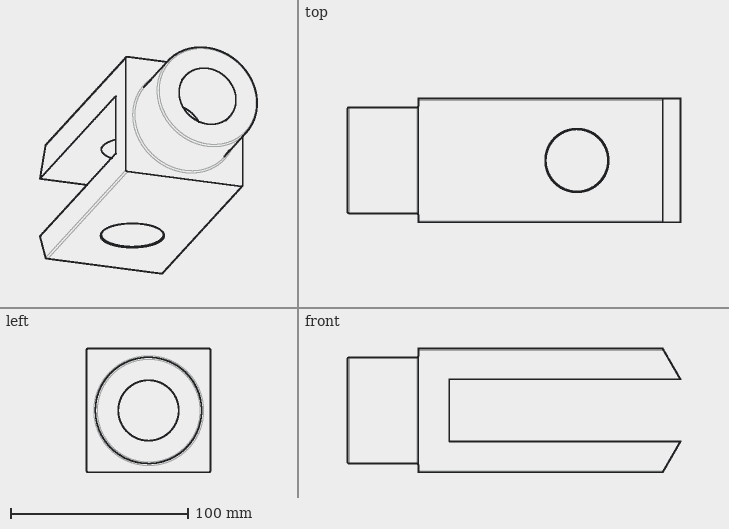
import cadquery as cq
import math

total_length = 188.0
body_width = 70.0
neck_length = 40.0
half_width = body_width / 2
body_length = total_length - neck_length

neck_diameter = 60.0
neck_round = 1.0
neck_fillet = 1.0
bore_diameter = 34.0

slot_width = 35.0
arm_thickness = (body_width - slot_width) / 2
slot_start = neck_length + arm_thickness
slot_length = total_length - slot_start

tip_bevel_angle = 30.0
tip_bevel_length = arm_thickness * math.tan(math.radians(tip_bevel_angle))

pin_diameter = 35.0
pin_position = 129.5
pin_chamfer = 0.5

edge_fillet = 1.0


def make_body():
    """Square bar along X with rounded long edges."""
    bar = cq.Workplane("XY").box(body_length, body_width, body_width, centered=(False, True, True))
    return bar.edges("|X").fillet(edge_fillet).translate((neck_length, 0, 0))


def arc_middle(center, x_side, y_side, radius):
    """Midpoint of a quarter arc in the quadrant given by the signs x_side and y_side."""
    offset = radius * math.sqrt(0.5)
    return (center[0] + x_side * offset, center[1] + y_side * offset)


def make_neck():
    """Round neck, rounded at its free end and flared by a fillet where it meets the body."""
    radius = neck_diameter / 2
    round_center = (neck_round, radius - neck_round)
    fillet_center = (neck_length - neck_fillet, radius + neck_fillet)
    profile = (
        cq.Workplane("XY")
        .lineTo(0, radius - neck_round)
        .threePointArc(arc_middle(round_center, -1, 1, neck_round), (neck_round, radius))
        .lineTo(neck_length - neck_fillet, radius)
        .threePointArc(
            arc_middle(fillet_center, 1, -1, neck_fillet),
            (neck_length, radius + neck_fillet),
        )
        .lineTo(neck_length, 0)
        .close()
    )
    return profile.revolve(360, (0, 0), (1, 0))


def make_slot():
    """Gap between the arms, open at the far end and both sides."""
    slot = cq.Workplane("XY").box(slot_length, body_width, slot_width, centered=(False, True, True))
    return slot.translate((slot_start, 0, 0))


def make_tip_bevel():
    """Wedge that slants the tip of the upper arm."""
    outline = [
        (total_length - tip_bevel_length, half_width),
        (total_length, slot_width / 2),
        (total_length, half_width),
    ]
    return cq.Workplane("XZ").polyline(outline).close().extrude(half_width, both=True)


def make_pin_hole():
    """Vertical pin hole, countersunk at both outer faces."""
    outline = [
        (0, -half_width),
        (pin_diameter / 2 + pin_chamfer, -half_width),
        (pin_diameter / 2, -half_width + pin_chamfer),
        (pin_diameter / 2, half_width - pin_chamfer),
        (pin_diameter / 2 + pin_chamfer, half_width),
        (0, half_width),
    ]
    hole = cq.Workplane("XZ").polyline(outline).close().revolve(360, (0, 0), (0, 1))
    return hole.translate((pin_position, 0, 0))


def make_bore():
    """Axial bore from the neck end into the slot."""
    return cq.Workplane("YZ").circle(bore_diameter / 2).extrude(slot_start)


tip_bevel = make_tip_bevel()
result = (
    make_body()
    .union(make_neck())
    .cut(make_slot())
    .cut(tip_bevel)
    .cut(tip_bevel.mirror("XY"))
    .cut(make_pin_hole())
    .cut(make_bore())
)